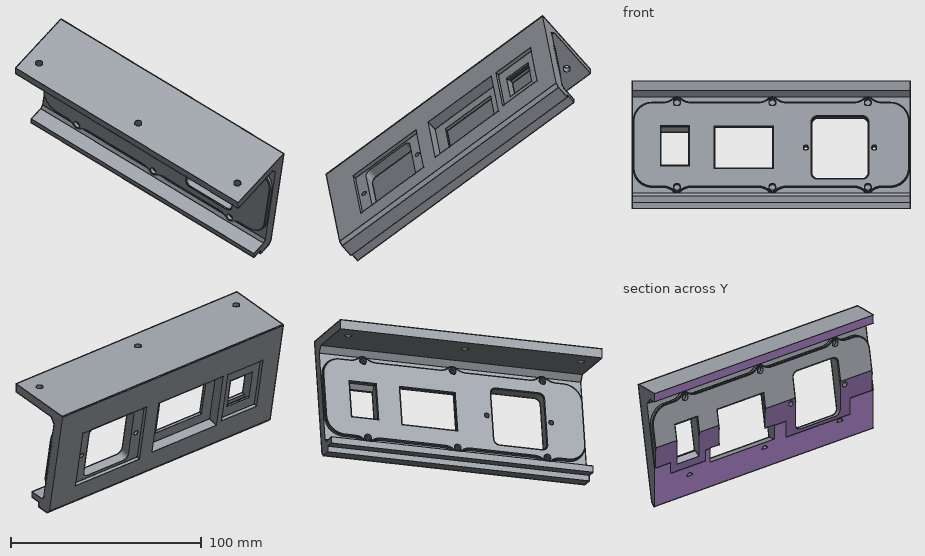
import cadquery as cq
import math

LENGTH = 146.0
DEPTH = 40.1
HEIGHT = 67.0
TILT_DEG = 10.0
WALL_THICKNESS = 6.0
FLANGE_THICKNESS = 5.1
TOP_BEVEL = 0.5
FLANGE_CHAMFER_DROP = 3.5
LIP_END_Y = 13.7
LIP_STEP_Y = 19.4
LIP_BOTTOM_Z = 3.0
LIP_TOP_Z = 6.5
LIP_CHAMFER = 1.6
BOTTOM_CHAMFER = 2.0

FLANGE_HOLE_DIAMETER = 3.6
FLANGE_HOLE_PITCH = 65.0
FLANGE_HOLE_Y = 9.9

PLATE_LENGTH = 144.8
PLATE_HEIGHT = 45.1
PLATE_THICKNESS = 2.0
PLATE_CORNER_RADIUS = 9.9
PLATE_EDGE_CHAMFER = 0.5
PLATE_CENTER_Z = 33.3

SCREW_DIAMETER = 3.6
SCREW_PITCH = 50.0
SCREW_PATTERN_U = 0.6
SCREW_DEPTH_IN_WALL = 2.0
LOBE_RADIUS = 2.9
LOBE_BLEND_RADIUS = 8.0

SWITCH_U, SWITCH_V = -50.5, -0.7
SWITCH_WIDTH, SWITCH_HEIGHT = 14.5, 20.6
THROAT_TOP_INSET = 2.0
THROAT_BOTTOM_INSET = 0.7
THROAT_DEPTH = 1.0

METER_U, METER_V = -14.5, -1.5
METER_WIDTH, METER_HEIGHT = 30.4, 21.9

SOCKET_U, SOCKET_V = 36.0, -1.6
SOCKET_WIDTH, SOCKET_HEIGHT = 29.5, 33.0
SOCKET_CORNER_RADIUS = 3.0
SOCKET_SCREW_DIAMETER = 2.6
SOCKET_SCREW_OFFSET = 18.0

PAD_TO_PLATE_FRONT = 6.0
PAD_THICKNESS = PAD_TO_PLATE_FRONT - PLATE_THICKNESS
SWITCH_PAD_WIDTH, SWITCH_PAD_HEIGHT = 23.2, 32.1
SOCKET_PAD_WIDTH, SOCKET_PAD_HEIGHT = 42.3, 36.5
METER_WINDOW_WIDTH, METER_WINDOW_HEIGHT = 42.6, 34.2

TILT = math.radians(TILT_DEG)
WALL_WIDTH_Y = WALL_THICKNESS / math.cos(TILT)


def wall_back_y(z):
    """Sloping back face, which starts just below the bevel on its top corner."""
    return DEPTH - (HEIGHT - TOP_BEVEL - z) * math.tan(TILT)


def wall_front_y(z):
    return wall_back_y(z) - WALL_WIDTH_Y


wall_face = cq.Plane(
    origin=(0, wall_front_y(PLATE_CENTER_Z), PLATE_CENTER_Z),
    xDir=(1, 0, 0),
    normal=(0, -math.cos(TILT), math.sin(TILT)),
)
screw_points = [
    (SCREW_PATTERN_U + column * SCREW_PITCH, side * PLATE_HEIGHT / 2)
    for column in (-1, 0, 1)
    for side in (-1, 1)
]
socket_screw_points = [(SOCKET_U + side * SOCKET_SCREW_OFFSET, SOCKET_V) for side in (-1, 1)]


def bracket_blank():
    flange_bottom = HEIGHT - FLANGE_THICKNESS
    chamfer_bottom = flange_bottom - FLANGE_CHAMFER_DROP
    chamfer_run = FLANGE_CHAMFER_DROP / math.tan(TILT + math.pi / 4)
    lip_chamfer_z = LIP_TOP_Z + LIP_CHAMFER
    outline = [
        (0, HEIGHT),
        (DEPTH - TOP_BEVEL, HEIGHT),
        (DEPTH, HEIGHT - TOP_BEVEL),
        (wall_back_y(BOTTOM_CHAMFER), BOTTOM_CHAMFER),
        (wall_back_y(BOTTOM_CHAMFER) - BOTTOM_CHAMFER, 0),
        (LIP_STEP_Y, 0),
        (LIP_STEP_Y, LIP_BOTTOM_Z),
        (LIP_END_Y, LIP_BOTTOM_Z),
        (LIP_END_Y, LIP_TOP_Z),
        (wall_front_y(lip_chamfer_z) - LIP_CHAMFER, LIP_TOP_Z),
        (wall_front_y(lip_chamfer_z), lip_chamfer_z),
        (wall_front_y(chamfer_bottom), chamfer_bottom),
        (wall_front_y(chamfer_bottom) - chamfer_run, flange_bottom),
        (0, flange_bottom),
    ]
    return cq.Workplane("YZ").polyline(outline).close().extrude(LENGTH / 2, both=True)


def flange_holes():
    points = [(column * FLANGE_HOLE_PITCH, FLANGE_HOLE_Y) for column in (-1, 0, 1)]
    holes = cq.Workplane("XY").workplane(offset=HEIGHT).pushPoints(points)
    return holes.circle(FLANGE_HOLE_DIAMETER / 2).extrude(-FLANGE_THICKNESS)


def block(u, v, width, height, bottom, top):
    """Rectangular block standing on the wall face between two levels along its normal."""
    sketch = cq.Workplane(wall_face).workplane(offset=bottom).center(u, v)
    return sketch.rect(width, height).extrude(top - bottom)


def cylinders(points, diameter, bottom, top):
    sketch = cq.Workplane(wall_face).workplane(offset=bottom).pushPoints(points)
    return sketch.circle(diameter / 2).extrude(top - bottom)


def socket_cutter(bottom, top):
    cutter = block(SOCKET_U, SOCKET_V, SOCKET_WIDTH, SOCKET_HEIGHT, bottom, top)
    along_normal = cq.selectors.ParallelDirSelector(wall_face.zDir)
    return cutter.edges(along_normal).fillet(SOCKET_CORNER_RADIUS)


def switch_pad(bottom):
    return block(SWITCH_U, SWITCH_V, SWITCH_PAD_WIDTH, SWITCH_PAD_HEIGHT, bottom, 0)


def socket_pad(bottom):
    return block(SOCKET_U, SOCKET_V, SOCKET_PAD_WIDTH, SOCKET_PAD_HEIGHT, bottom, 0)


def meter_window():
    return block(METER_U, METER_V, METER_WINDOW_WIDTH, METER_WINDOW_HEIGHT, -WALL_THICKNESS, 0)


def switch_recess():
    """Throat at the back of the pad, widening at 45 degrees up and down towards the plate."""
    throat_top = SWITCH_HEIGHT / 2 - THROAT_TOP_INSET
    throat_bottom = THROAT_BOTTOM_INSET - SWITCH_HEIGHT / 2
    flare = PAD_THICKNESS - THROAT_DEPTH
    side_plane = cq.Plane(
        origin=wall_face.toWorldCoords((SWITCH_U, SWITCH_V, 0)),
        xDir=wall_face.zDir,
        normal=(-1, 0, 0),
    )
    outline = [
        (-PAD_THICKNESS, throat_bottom),
        (-flare, throat_bottom),
        (0, throat_bottom - flare),
        (0, throat_top + flare),
        (-flare, throat_top),
        (-PAD_THICKNESS, throat_top),
    ]
    return cq.Workplane(side_plane).polyline(outline).close().extrude(SWITCH_WIDTH / 2, both=True)


def build_bracket():
    bracket = bracket_blank().cut(flange_holes())
    bracket = bracket.cut(meter_window())
    bracket = bracket.cut(switch_pad(-WALL_THICKNESS))
    bracket = bracket.cut(socket_pad(-WALL_THICKNESS))
    return bracket.cut(cylinders(screw_points, SCREW_DIAMETER, -SCREW_DEPTH_IN_WALL, 0))


def lobe(u, side):
    """Round lobe about a screw on the plate edge, blended into the edge by concave arcs."""
    edge = side * PLATE_HEIGHT / 2
    reach = LOBE_BLEND_RADIUS + LOBE_RADIUS
    spread = math.sqrt(reach**2 - LOBE_BLEND_RADIUS**2)
    tangent_u = spread * LOBE_RADIUS / reach
    tangent_v = edge + side * LOBE_BLEND_RADIUS * LOBE_RADIUS / reach
    half_angle = math.atan2(spread, LOBE_BLEND_RADIUS) / 2
    blend_u = spread - LOBE_BLEND_RADIUS * math.sin(half_angle)
    blend_v = edge + side * LOBE_BLEND_RADIUS * (1 - math.cos(half_angle))
    return (
        cq.Workplane(wall_face)
        .moveTo(u - spread, edge)
        .threePointArc((u - blend_u, blend_v), (u - tangent_u, tangent_v))
        .threePointArc((u, edge + side * LOBE_RADIUS), (u + tangent_u, tangent_v))
        .threePointArc((u + blend_u, blend_v), (u + spread, edge))
        .lineTo(u + spread, 0)
        .lineTo(u - spread, 0)
        .close()
        .extrude(PLATE_THICKNESS)
    )


def plate_sheet():
    """Flat sheet with lobes and openings; its front edges are all chamfered."""
    along_normal = cq.selectors.ParallelDirSelector(wall_face.zDir)
    sheet = block(0, 0, PLATE_LENGTH, PLATE_HEIGHT, 0, PLATE_THICKNESS)
    sheet = sheet.edges(along_normal).fillet(PLATE_CORNER_RADIUS)
    for u, v in screw_points:
        sheet = sheet.union(lobe(u, math.copysign(1, v)))
    sheet = sheet.cut(block(SWITCH_U, SWITCH_V, SWITCH_WIDTH, SWITCH_HEIGHT, 0, PLATE_THICKNESS))
    sheet = sheet.cut(block(METER_U, METER_V, METER_WIDTH, METER_HEIGHT, 0, PLATE_THICKNESS))
    sheet = sheet.cut(socket_cutter(0, PLATE_THICKNESS))
    front_face = cq.selectors.DirectionMinMaxSelector(wall_face.zDir)
    return sheet.faces(front_face).edges().chamfer(PLATE_EDGE_CHAMFER)


def build_plate():
    plate = plate_sheet()
    plate = plate.union(switch_pad(-PAD_THICKNESS).cut(switch_recess()))
    plate = plate.union(socket_pad(-PAD_THICKNESS).cut(socket_cutter(-PAD_THICKNESS, 0)))
    plate = plate.cut(cylinders(screw_points, SCREW_DIAMETER, 0, PLATE_THICKNESS))
    return plate.cut(
        cylinders(socket_screw_points, SOCKET_SCREW_DIAMETER, -PAD_THICKNESS, PLATE_THICKNESS)
    )


bracket = build_bracket()
cover_plate = build_plate()
result = cq.Compound.makeCompound([bracket.val(), cover_plate.val()])